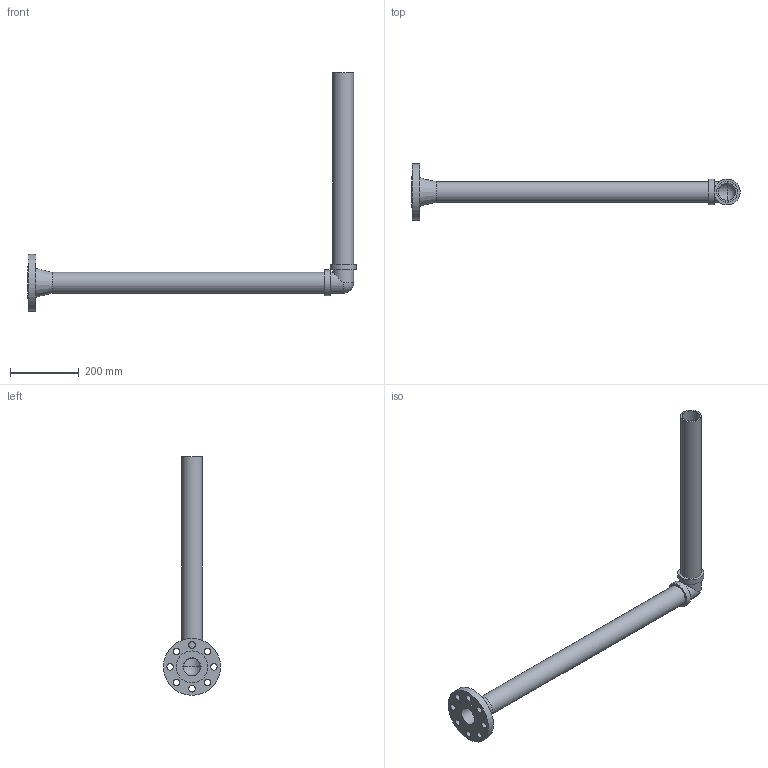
import cadquery as cq

RUN_LENGTH = 914.4
RISER_HEIGHT = 609.6

PIPE_DIAMETER = 60.3
BORE_DIAMETER = 50.6
PIPE_RADIUS = PIPE_DIAMETER / 2
BORE_RADIUS = BORE_DIAMETER / 2

FLANGE_DIAMETER = 165.1
FLANGE_LENGTH = 70.0
FLANGE_THICKNESS = 22.4
FLANGE_BORE_DIAMETER = 52.5
FACE_DIAMETER = 92.1
FACE_HEIGHT = 1.6
HUB_DIAMETER = 84.1
BOLT_CIRCLE_DIAMETER = 127.0
BOLT_HOLE_DIAMETER = 19.05
BOLT_HOLE_COUNT = 8

COLLAR_DIAMETER = 75.2
COLLAR_WIDTH = 15.9
ELBOW_REACH = 54.0


def tube_profile(workplane):
    """Ring-shaped pipe section centred on the workplane."""
    return workplane.circle(PIPE_RADIUS).circle(BORE_RADIUS)


def make_flange():
    """Weld neck flange: raised face, disc and tapered neck, with a ring of bolt holes."""
    body = (
        cq.Workplane("XZ")
        .moveTo(0, FLANGE_BORE_DIAMETER / 2)
        .lineTo(0, FACE_DIAMETER / 2)
        .lineTo(FACE_HEIGHT, FACE_DIAMETER / 2)
        .lineTo(FACE_HEIGHT, FLANGE_DIAMETER / 2)
        .lineTo(FLANGE_THICKNESS, FLANGE_DIAMETER / 2)
        .lineTo(FLANGE_THICKNESS, HUB_DIAMETER / 2)
        .lineTo(FLANGE_LENGTH, PIPE_RADIUS)
        .lineTo(FLANGE_LENGTH, FLANGE_BORE_DIAMETER / 2)
        .close()
        .revolve(360, (0, 0, 0), (1, 0, 0))
    )
    bolt_holes = (
        cq.Workplane("YZ")
        .polarArray(BOLT_CIRCLE_DIAMETER / 2, 0, 360, BOLT_HOLE_COUNT)
        .circle(BOLT_HOLE_DIAMETER / 2)
        .extrude(FLANGE_THICKNESS)
    )
    return body.cut(bolt_holes)


def make_run_pipe():
    """Horizontal pipe from the flange neck to the elbow."""
    start = cq.Workplane("YZ", origin=(FLANGE_LENGTH, 0, 0))
    return tube_profile(start).extrude(RUN_LENGTH - ELBOW_REACH - FLANGE_LENGTH)


def make_riser():
    """Vertical pipe from the elbow to the open top end."""
    start = cq.Workplane("XY", origin=(RUN_LENGTH, 0, ELBOW_REACH))
    return tube_profile(start).extrude(RISER_HEIGHT - ELBOW_REACH)


def rounded_corner(radius):
    """Two equal cylinders that meet at right angles, with a ball closing the outer corner."""
    toward_flange = cq.Workplane("YZ", origin=(RUN_LENGTH, 0, 0)).circle(radius).extrude(-ELBOW_REACH)
    upward = cq.Workplane("XY", origin=(RUN_LENGTH, 0, 0)).circle(radius).extrude(ELBOW_REACH)
    ball = cq.Workplane("XZ", origin=(RUN_LENGTH, 0, 0)).sphere(radius)
    return toward_flange.union(upward).union(ball)


def make_elbow():
    """Rounded corner with a collar at each end and a bore that matches the pipes."""
    run_end = cq.Workplane("YZ", origin=(RUN_LENGTH - ELBOW_REACH, 0, 0))
    riser_end = cq.Workplane("XY", origin=(RUN_LENGTH, 0, ELBOW_REACH))
    run_collar = run_end.circle(COLLAR_DIAMETER / 2).extrude(COLLAR_WIDTH)
    riser_collar = riser_end.circle(COLLAR_DIAMETER / 2).extrude(-COLLAR_WIDTH)
    body = rounded_corner(PIPE_RADIUS).union(run_collar).union(riser_collar)
    return body.cut(rounded_corner(BORE_RADIUS))


flange = make_flange()
run_pipe = make_run_pipe()
elbow = make_elbow()
riser = make_riser()

result = cq.Compound.makeCompound([flange.val(), run_pipe.val(), elbow.val(), riser.val()])